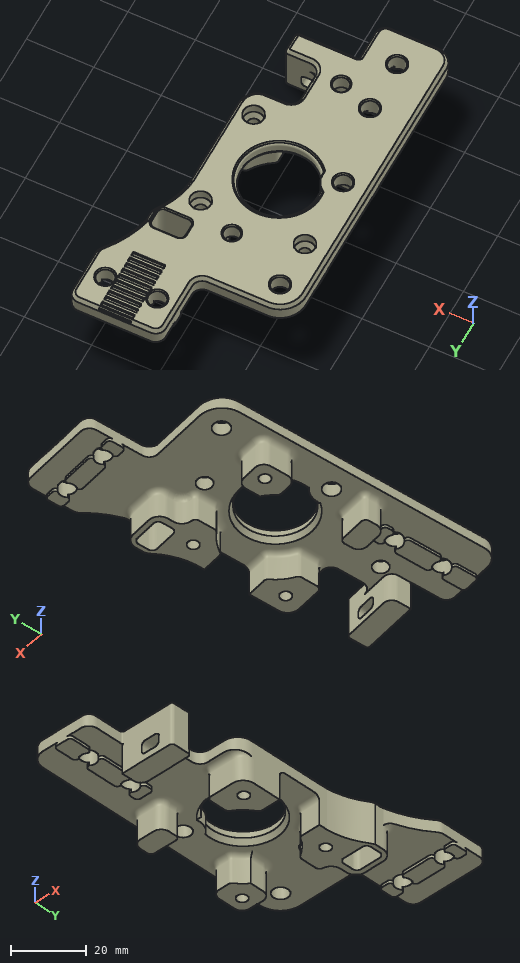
import cadquery as cq
import math

LENGTH = 116.0
WIDTH = 56.0
PLATE_THICK = 5.0
EDGE_CHAMFER = 1.0
HOLE_CHAMFER = 0.4
CORNER_R = 3.0
FOOT_CORNER_R = 5.0
SHOULDER_CORNER_R = 7.7
MOTOR_CORNER_R = 5.5

FOOT_RIGHT = 22.0
FOOT_INNER_R = 0.3
ARM_RIGHT = 40.6
ARM_FRONT = 12.5
ARM_BACK = 19.6
ARM_END_R = 1.0
NOTCH_LEFT = 29.9
NOTCH_BACK = 33.9
PLATE_RIGHT = 44.1
SHOULDER_BACK = 94.7
HEAD_LEFT = 28.4
LOWER_CURVE_START = (PLATE_RIGHT, 67.6)
LOWER_CURVE_MIDDLE = (45.4, 74.0)
LOWER_CURVE_END = (48.1, 79.6)
BULGE_RIGHT = 48.8
BULGE_FRONT = 81.0
BULGE_BACK = 84.1
UPPER_CURVE_MIDDLE = (51.0, 90.6)
UPPER_CURVE_END = (WIDTH, 98.5)

MOTOR_X = 23.1
MOTOR_Y = 57.2
SCREW_SPACING = 31.0
SCREW_LEFT = MOTOR_X - SCREW_SPACING / 2
SCREW_RIGHT = MOTOR_X + SCREW_SPACING / 2
SCREW_FRONT = MOTOR_Y - SCREW_SPACING / 2
SCREW_BACK = MOTOR_Y + SCREW_SPACING / 2
SCREW_D = 3.5
SCREW_HEAD_D = 6.0
SCREW_HEAD_DEPTH = 3.0
BORE_R = 11.3
BORE_RIM_R = 12.47
BORE_ROUND = 0.8
BORE_FLARE_R = 12.3
BORE_FLARE_HEIGHT = 2.0
BUMP_R = 6.0

BOLT_D = 5.2
RAIL_X = 12.1
BUMP_BOLT_Y = 50.3
SHOULDER_BOLT_Y = 87.2
INSERT_D = 4.8
INSERT_POINTS = [(22.4, 22.4), (26.5, 78.3)]
FOOT_BOLT_YS = (10.0, 25.9)
HEAD_X = (HEAD_LEFT + WIDTH) / 2
HEAD_BOLT_SPACING = 15.4
HEAD_BOLT_Y = 106.0
HEAD_BOLT_XS = (HEAD_X - HEAD_BOLT_SPACING / 2, HEAD_X + HEAD_BOLT_SPACING / 2)

SLOT_Y = 82.6
SLOT_LENGTH = 10.1
SLOT_WIDTH = 6.5
SLOT_R = 1.6
HOUSING_LEFT = 35.0
HOUSING_BACK = 87.6
HOUSING_R = 3.6

BELT_WIDTH = 9.5
BELT_PITCH = 2.0
BELT_GROOVE_COUNT = 11
BELT_GROOVE_WIDTH = 1.2
BELT_GROOVE_DEPTH = 0.75
BELT_START_Y = 95.5

STANDOFF_HEIGHT = 10.0
STANDOFF_FILLET = 2.0
STANDOFF_OUTER = 5.8
STANDOFF_INNER = 8.0
STANDOFF_CORNER_R = 4.0
STANDOFF_SMALL_R = 1.5
MOTOR_CLEARANCE_R = 15.7
FEET_LEFT = 3.0
FEET_RIGHT = 13.7
FEET_CORNER_R = 2.9
BACK_FOOT_FRONT = 65.8
BACK_FOOT_BACK = 77.3
FRONT_FOOT_BACK = 42.8

WALL_R = 2.8
WALL_SLOT_X = 32.5
WALL_SLOT_Z = -5.6
WALL_SLOT_LENGTH = 6.4
WALL_SLOT_HEIGHT = 4.3
WALL_SLOT_R = 1.4

FOOT_RAIL_WIDTH = 6.0
HEAD_RAIL_WIDTH = 5.6
RAIL_HEIGHT = 1.0
RAIL_R = 1.2
RAIL_HOLE_GAP = 4.0
FOOT_RAIL_END = 31.5

PICK_MARGIN = 0.06


def prism(outline, bottom, top):
    """Closed outline in the XY plane extruded from bottom to top."""
    return outline.extrude(top - bottom).translate((0, 0, bottom))


def box(left, right, front, back, bottom, top):
    size = (right - left, back - front, top - bottom)
    return cq.Workplane("XY").box(*size, centered=False).translate((left, front, bottom))


def upright_cylinder(x, y, radius, bottom, top):
    return cq.Workplane("XY").center(x, y).circle(radius).extrude(top - bottom).translate((0, 0, bottom))


def round_corner(solid, x, y, radius):
    """Round the vertical edge that stands at (x, y)."""
    near = cq.selectors.BoxSelector(
        (x - PICK_MARGIN, y - PICK_MARGIN, -LENGTH),
        (x + PICK_MARGIN, y + PICK_MARGIN, LENGTH),
    )
    return solid.edges("|Z").edges(near).fillet(radius)


def outline_prism(bottom, top):
    """Plate outline, corners rounded, between two heights."""
    sketch = (
        cq.Workplane("XY")
        .moveTo(0, 0)
        .lineTo(FOOT_RIGHT, 0)
        .lineTo(FOOT_RIGHT, ARM_FRONT)
        .lineTo(ARM_RIGHT, ARM_FRONT)
        .lineTo(ARM_RIGHT, ARM_BACK)
        .lineTo(NOTCH_LEFT, ARM_BACK)
        .lineTo(NOTCH_LEFT, NOTCH_BACK)
        .lineTo(PLATE_RIGHT, NOTCH_BACK)
        .lineTo(*LOWER_CURVE_START)
        .threePointArc(LOWER_CURVE_MIDDLE, LOWER_CURVE_END)
        .lineTo(BULGE_RIGHT, BULGE_FRONT)
        .lineTo(BULGE_RIGHT, BULGE_BACK)
        .threePointArc(UPPER_CURVE_MIDDLE, UPPER_CURVE_END)
        .lineTo(WIDTH, LENGTH)
        .lineTo(HEAD_LEFT, LENGTH)
        .lineTo(HEAD_LEFT, SHOULDER_BACK)
        .lineTo(0, SHOULDER_BACK)
        .close()
    )
    solid = prism(sketch, bottom, top)
    corners = [
        (0, 0, FOOT_CORNER_R),
        (FOOT_RIGHT, 0, CORNER_R),
        (FOOT_RIGHT, ARM_FRONT, FOOT_INNER_R),
        (ARM_RIGHT, ARM_FRONT, ARM_END_R),
        (ARM_RIGHT, ARM_BACK, ARM_END_R),
        (NOTCH_LEFT, ARM_BACK, CORNER_R),
        (NOTCH_LEFT, NOTCH_BACK, CORNER_R),
        (PLATE_RIGHT, NOTCH_BACK, MOTOR_CORNER_R),
        (*UPPER_CURVE_END, CORNER_R),
        (WIDTH, LENGTH, CORNER_R),
        (HEAD_LEFT, LENGTH, CORNER_R),
        (HEAD_LEFT, SHOULDER_BACK, CORNER_R),
        (0, SHOULDER_BACK, SHOULDER_CORNER_R),
    ]
    for x, y, radius in corners:
        solid = round_corner(solid, x, y, radius)
    return solid


def motor_clearance():
    """Cylinder around the bore axis that every standoff keeps clear of."""
    return upright_cylinder(MOTOR_X, MOTOR_Y, MOTOR_CLEARANCE_R, -STANDOFF_HEIGHT, 0)


def clearance_reach(offset):
    """Half-width of the clearance circle at a given offset from the bore axis."""
    return math.sqrt(MOTOR_CLEARANCE_R**2 - offset**2)


def motor_standoff(away):
    """Standoff at a right-hand screw; away is +1 behind the bore and -1 in front of it."""
    screw_y = MOTOR_Y + away * SCREW_SPACING / 2
    outer_y = screw_y + away * STANDOFF_OUTER
    inner_y = screw_y - away * STANDOFF_INNER
    left = SCREW_RIGHT - STANDOFF_INNER
    right = BULGE_RIGHT if away > 0 else PLATE_RIGHT
    front, back = sorted((outer_y, inner_y))
    body = box(left, right, front, back, -STANDOFF_HEIGHT, 0).cut(motor_clearance())
    body = round_corner(body, left, outer_y, STANDOFF_SMALL_R)
    if away < 0:
        body = round_corner(body, right, outer_y, STANDOFF_CORNER_R)
    arc_end_y = MOTOR_Y + away * clearance_reach(left - MOTOR_X)
    arc_end_x = MOTOR_X + clearance_reach(inner_y - MOTOR_Y)
    body = round_corner(body, left, arc_end_y, STANDOFF_SMALL_R)
    return round_corner(body, arc_end_x, inner_y, STANDOFF_SMALL_R)


def slot_housing():
    """Walls around the slot, joined to the standoff of the rear right screw."""
    standoff = motor_standoff(1)
    standoff_back = SCREW_BACK + STANDOFF_OUTER
    walls = box(HOUSING_LEFT, BULGE_RIGHT, SCREW_BACK, HOUSING_BACK, -STANDOFF_HEIGHT, 0)
    for x in (HOUSING_LEFT, BULGE_RIGHT):
        walls = round_corner(walls, x, HOUSING_BACK, HOUSING_R)
    joined = standoff.union(walls)
    return round_corner(joined, HOUSING_LEFT, standoff_back, HOUSING_R)


def foot(front, back, back_r):
    """Left-hand standoff of rectangular section, its two back corners and left front corner rounded."""
    body = box(FEET_LEFT, FEET_RIGHT, front, back, -STANDOFF_HEIGHT, 0)
    body = round_corner(body, FEET_LEFT, front, FEET_CORNER_R)
    for x in (FEET_LEFT, FEET_RIGHT):
        body = round_corner(body, x, back, back_r)
    return body


def front_foot():
    body = foot(SCREW_FRONT - STANDOFF_OUTER, FRONT_FOOT_BACK, STANDOFF_SMALL_R)
    return round_corner(body, FEET_RIGHT, SCREW_FRONT - STANDOFF_OUTER, FEET_CORNER_R)


def back_foot():
    """Foot whose right front corner gives way to the motor clearance."""
    body = foot(BACK_FOOT_FRONT, BACK_FOOT_BACK, FEET_CORNER_R).cut(motor_clearance())
    arc_end_x = MOTOR_X - clearance_reach(BACK_FOOT_FRONT - MOTOR_Y)
    return round_corner(body, arc_end_x, BACK_FOOT_FRONT, STANDOFF_SMALL_R)


def flared(standoff, outline):
    """Blend a standoff into the plate with a fillet, trimmed to the plate outline."""
    slab = box(-LENGTH, LENGTH, -LENGTH, 2 * LENGTH, 0, PLATE_THICK / 2)
    joined = slab.union(standoff)
    root = cq.selectors.BoxSelector((0, 0, -PICK_MARGIN), (WIDTH, LENGTH, PICK_MARGIN))
    return joined.edges(root).fillet(STANDOFF_FILLET).intersect(outline)


def arm_wall():
    """Wall below the arm, pierced front to back by a rounded slot."""
    wall = box(FOOT_RIGHT, ARM_RIGHT, ARM_FRONT, ARM_BACK, -STANDOFF_HEIGHT, 0)
    wall = round_corner(wall, FOOT_RIGHT, ARM_BACK, WALL_R)
    for y in (ARM_FRONT, ARM_BACK):
        wall = round_corner(wall, ARM_RIGHT, y, ARM_END_R)
    slot = (
        cq.Workplane("XY")
        .box(WALL_SLOT_LENGTH, 2 * ARM_BACK, WALL_SLOT_HEIGHT)
        .edges("|Y")
        .fillet(WALL_SLOT_R)
        .translate((WALL_SLOT_X, ARM_BACK, WALL_SLOT_Z))
    )
    return wall.cut(slot)


def rail_spans(start, end, hole_centres):
    """Stretches of a rail left between the gaps at its holes."""
    spans = []
    for centre in hole_centres:
        spans.append((start, centre - RAIL_HOLE_GAP / 2))
        start = centre + RAIL_HOLE_GAP / 2
    spans.append((start, end))
    return spans


def rails():
    """Raised keys on the underside, broken at the bolt holes."""
    pieces = []
    half = FOOT_RAIL_WIDTH / 2
    for front, back in rail_spans(0, FOOT_RAIL_END, FOOT_BOLT_YS):
        pieces.append(box(RAIL_X - half, RAIL_X + half, front, back, -RAIL_HEIGHT, 0))
    half = HEAD_RAIL_WIDTH / 2
    for left, right in rail_spans(HEAD_LEFT, WIDTH, HEAD_BOLT_XS):
        pieces.append(box(left, right, HEAD_BOLT_Y - half, HEAD_BOLT_Y + half, -RAIL_HEIGHT, 0))
    return [piece.edges("|Z").fillet(RAIL_R) for piece in pieces]


def motor_bore():
    """Bore with a chamfered rim, a rounded lip and a flare at the underside."""
    rim_z = PLATE_THICK - HOLE_CHAMFER
    lip_r = BORE_R + BORE_ROUND
    diagonal = BORE_ROUND * (1 - math.sqrt(0.5))
    return (
        cq.Workplane("XZ")
        .moveTo(0, 0)
        .lineTo(BORE_FLARE_R, 0)
        .lineTo(BORE_R, BORE_FLARE_HEIGHT)
        .lineTo(BORE_R, rim_z - BORE_ROUND)
        .threePointArc((BORE_R + diagonal, rim_z - diagonal), (lip_r, rim_z))
        .lineTo(BORE_RIM_R, PLATE_THICK)
        .lineTo(0, PLATE_THICK)
        .close()
        .revolve(360, (0, 0, 0), (0, 1, 0))
        .translate((MOTOR_X, MOTOR_Y, 0))
    )


def chamfered_hole(x, y, diameter):
    """Hole through the plate and rails with a chamfer at the top."""
    hole = upright_cylinder(x, y, diameter / 2, -RAIL_HEIGHT, PLATE_THICK)
    rim = cq.Solid.makeCone(
        diameter / 2,
        diameter / 2 + HOLE_CHAMFER,
        HOLE_CHAMFER,
        pnt=cq.Vector(x, y, PLATE_THICK - HOLE_CHAMFER),
    )
    return hole.union(cq.Workplane(rim))


def screw_hole(x, y):
    """Screw hole with a head recess that narrows at 45 degrees."""
    cone = (SCREW_HEAD_D - SCREW_D) / 2
    floor = PLATE_THICK - SCREW_HEAD_DEPTH
    shank = upright_cylinder(x, y, SCREW_D / 2, -STANDOFF_HEIGHT, PLATE_THICK)
    head = upright_cylinder(x, y, SCREW_HEAD_D / 2, floor, PLATE_THICK)
    seat = cq.Solid.makeCone(SCREW_D / 2, SCREW_HEAD_D / 2, cone, pnt=cq.Vector(x, y, floor - cone))
    return shank.union(head).union(cq.Workplane(seat))


def slot_cut():
    """Rounded slot through the plate and housing with a chamfered top rim."""
    slot = (
        cq.Workplane("XY")
        .box(SLOT_LENGTH, SLOT_WIDTH, PLATE_THICK + STANDOFF_HEIGHT, centered=(True, True, False))
        .edges("|Z")
        .fillet(SLOT_R)
        .translate((HEAD_X, SLOT_Y, -STANDOFF_HEIGHT))
    )
    rim = (
        cq.Workplane("XY")
        .box(SLOT_LENGTH + 2 * HOLE_CHAMFER, SLOT_WIDTH + 2 * HOLE_CHAMFER, EDGE_CHAMFER, centered=(True, True, False))
        .edges("|Z")
        .fillet(SLOT_R + HOLE_CHAMFER)
        .faces("<Z")
        .chamfer(HOLE_CHAMFER)
        .translate((HEAD_X, SLOT_Y, PLATE_THICK - HOLE_CHAMFER))
    )
    return slot.union(rim)


def belt_grooves():
    """Cross grooves in the top face that grip a toothed belt; the last opens through the back edge."""
    left = HEAD_X - BELT_WIDTH / 2
    right = HEAD_X + BELT_WIDTH / 2
    fronts = [BELT_START_Y + index * BELT_PITCH for index in range(BELT_GROOVE_COUNT)]
    floor = PLATE_THICK - BELT_GROOVE_DEPTH
    return [box(left, right, front, front + BELT_GROOVE_WIDTH, floor, PLATE_THICK) for front in fronts]


def build_plate():
    plate = outline_prism(0, PLATE_THICK).faces(">Z").edges().chamfer(EDGE_CHAMFER)
    plate = plate.cut(motor_bore())
    plate = plate.union(upright_cylinder(SCREW_LEFT, BUMP_BOLT_Y, BUMP_R, 0, PLATE_THICK))

    column = outline_prism(-STANDOFF_HEIGHT, PLATE_THICK / 2)
    below = box(0, WIDTH, 0, LENGTH, -STANDOFF_HEIGHT, 0)
    bore_column = upright_cylinder(MOTOR_X, MOTOR_Y, BORE_FLARE_R, -STANDOFF_HEIGHT, 0)
    standoffs = [motor_standoff(-1), slot_housing(), front_foot(), back_foot()]
    for standoff in standoffs:
        plate = plate.union(flared(standoff, column).intersect(below).cut(bore_column))
    plate = plate.union(arm_wall())
    for rail in rails():
        plate = plate.union(rail)

    bolts = [(SCREW_LEFT, BUMP_BOLT_Y), (SCREW_LEFT, SHOULDER_BOLT_Y)]
    bolts += [(RAIL_X, y) for y in FOOT_BOLT_YS]
    bolts += [(x, HEAD_BOLT_Y) for x in HEAD_BOLT_XS]
    for x, y in bolts:
        plate = plate.cut(chamfered_hole(x, y, BOLT_D))
    for x, y in INSERT_POINTS:
        plate = plate.cut(chamfered_hole(x, y, INSERT_D))
    for x, y in [(SCREW_LEFT, SCREW_BACK), (SCREW_RIGHT, SCREW_BACK), (SCREW_RIGHT, SCREW_FRONT)]:
        plate = plate.cut(screw_hole(x, y))
    plate = plate.cut(slot_cut())
    for groove in belt_grooves():
        plate = plate.cut(groove)
    return plate


plate = build_plate()
result = cq.Compound.makeCompound([plate.solids().val()])